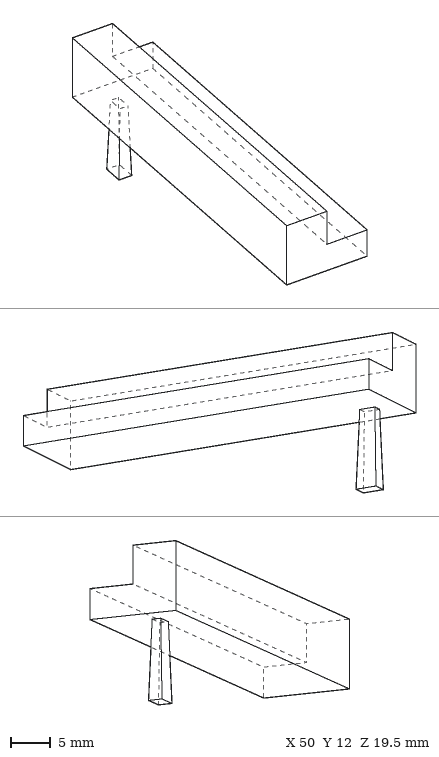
import cadquery as cq

BAR_LENGTH = 50.0
BAR_DEPTH = 12.0
BAR_HEIGHT = 9.0
STEP_DEPTH = BAR_DEPTH / 2
STEP_HEIGHT = 4.0

LEG_HEIGHT = 10.5
LEG_FOOT_LENGTH = 2.9
LEG_FOOT_DEPTH = 1.9
LEG_NARROWING = 0.7
LEG_INSET_X = 4.3
LEG_INSET_Y = 4.25


def make_bar():
    """L-section bar with its underside on Z = 0 and its tall half at the front."""
    step_front = BAR_DEPTH - STEP_DEPTH
    section = [
        (0, 0),
        (BAR_DEPTH, 0),
        (BAR_DEPTH, STEP_HEIGHT),
        (step_front, STEP_HEIGHT),
        (step_front, BAR_HEIGHT),
        (0, BAR_HEIGHT),
    ]
    return cq.Workplane("YZ").polyline(section).close().extrude(BAR_LENGTH)


def make_leg():
    """Tapered leg standing below the bar, its narrow top flat against the underside."""
    return (
        cq.Workplane("XY", origin=(LEG_INSET_X, LEG_INSET_Y, -LEG_HEIGHT))
        .rect(LEG_FOOT_LENGTH, LEG_FOOT_DEPTH)
        .workplane(offset=LEG_HEIGHT)
        .rect(LEG_FOOT_LENGTH - LEG_NARROWING, LEG_FOOT_DEPTH - LEG_NARROWING)
        .loft(ruled=True)
    )


bar = make_bar()
leg = make_leg()

result = cq.Compound.makeCompound([bar.val(), leg.val()])